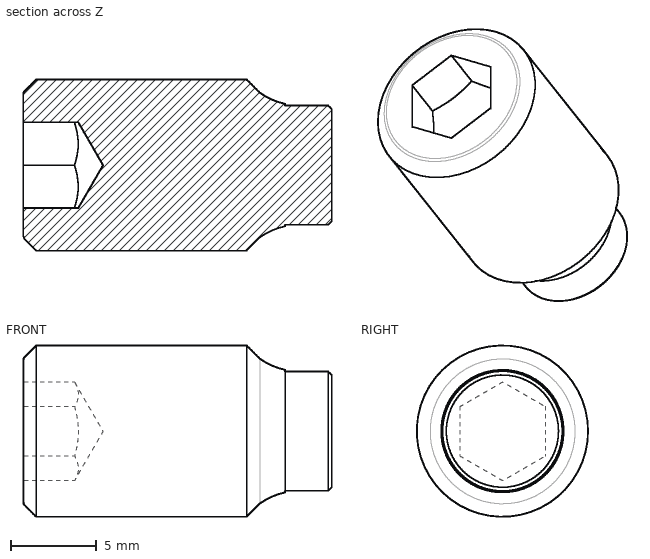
import cadquery as cq
import math

length = 18.0
body_radius = 5.0
body_chamfer = 0.75
rim_round_radius = 0.23

shoulder_start = 13.03
cone_length = 0.77
neck_end = 15.28
neck_end_radius = 3.58
neck_arc_radius = 4.0

pin_radius = 3.5
pin_chamfer = 0.22

hex_across_flats = 4.99
hex_depth = 2.99
drill_point_angle = 120.0


def make_body():
    """Revolve the outer profile about the X axis."""
    rim_radius = body_radius - body_chamfer
    half_turn = math.radians(45 / 2)
    tangent_length = rim_round_radius * math.tan(half_turn)
    along_chamfer = tangent_length * math.sqrt(0.5)
    face_radius = rim_radius - tangent_length
    round_end = (along_chamfer, rim_radius + along_chamfer)
    round_mid = (
        rim_round_radius * (1 - math.cos(half_turn)),
        face_radius + rim_round_radius * math.sin(half_turn),
    )
    return (
        cq.Workplane("XY")
        .lineTo(0, face_radius)
        .threePointArc(round_mid, round_end)
        .lineTo(body_chamfer, body_radius)
        .lineTo(shoulder_start, body_radius)
        .lineTo(shoulder_start + cone_length, body_radius - cone_length)
        .radiusArc((neck_end, neck_end_radius), -neck_arc_radius)
        .lineTo(neck_end, pin_radius)
        .lineTo(length - pin_chamfer, pin_radius)
        .lineTo(length, pin_radius - pin_chamfer)
        .lineTo(length, 0)
        .close()
        .revolve(360, (0, 0, 0), (1, 0, 0))
    )


def make_socket():
    """Hexagonal prism with two vertical flats, ending in a drill point."""
    corner_radius = hex_across_flats / math.sqrt(3)
    point_length = corner_radius / math.tan(math.radians(drill_point_angle / 2))
    socket_end = hex_depth + point_length
    prism = (
        cq.Workplane("YZ")
        .polygon(6, 2 * corner_radius)
        .extrude(socket_end)
        .rotate((0, 0, 0), (1, 0, 0), 30)
    )
    drill = (
        cq.Workplane("XY")
        .lineTo(0, corner_radius)
        .lineTo(hex_depth, corner_radius)
        .lineTo(socket_end, 0)
        .close()
        .revolve(360, (0, 0, 0), (1, 0, 0))
    )
    return prism.intersect(drill)


result = make_body().cut(make_socket())